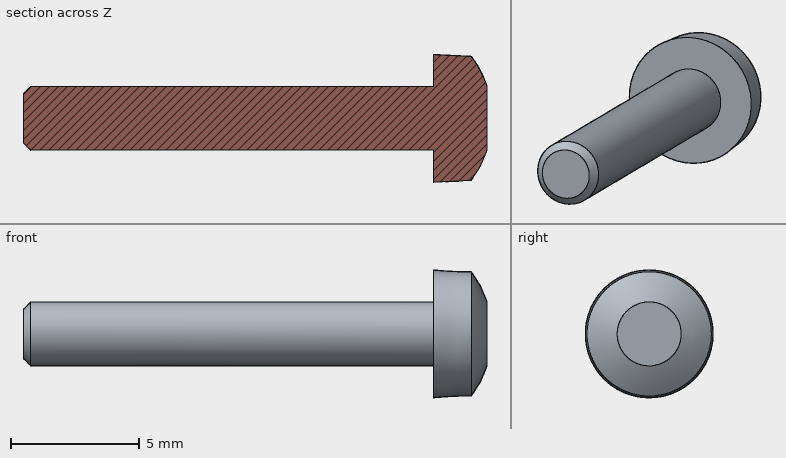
import cadquery as cq
import math

total_length = 18.1
shank_length = 16.0
shank_radius = 1.25
tip_chamfer = 0.29

head_radius = 2.5
head_rim_radius = 2.43
head_side_length = 1.48
crown_flat_radius = shank_radius

x_tip = -total_length / 2
x_end = total_length / 2
x_seat = x_tip + shank_length
x_rim = x_seat + head_side_length

crown_depth = x_end - x_rim
center_to_rim = (head_rim_radius**2 - crown_flat_radius**2 - crown_depth**2) / (2 * crown_depth)
x_center = x_rim - center_to_rim
sphere_radius = math.hypot(center_to_rim, head_rim_radius)
crown_mid_radius = (head_rim_radius + crown_flat_radius) / 2
x_crown_mid = x_center + math.sqrt(sphere_radius**2 - crown_mid_radius**2)

profile = (
    cq.Workplane("XY")
    .moveTo(x_tip, 0)
    .lineTo(x_tip, shank_radius - tip_chamfer)
    .lineTo(x_tip + tip_chamfer, shank_radius)
    .lineTo(x_seat, shank_radius)
    .lineTo(x_seat, head_radius)
    .lineTo(x_rim, head_rim_radius)
    .threePointArc((x_crown_mid, crown_mid_radius), (x_end, crown_flat_radius))
    .lineTo(x_end, 0)
    .close()
)

result = profile.revolve(360, (0, 0, 0), (1, 0, 0))